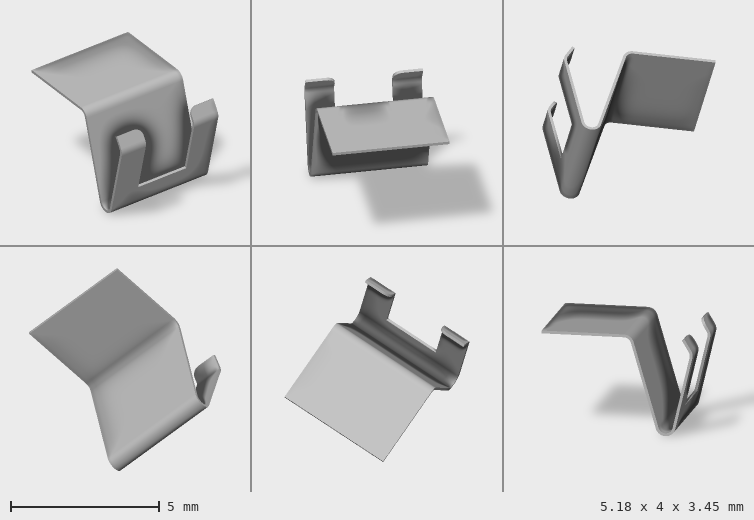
import cadquery as cq
import math

total_length = 5.18
width = 4.0
height = 3.45

thickness = 0.1
inside_radius = 0.25
mid_radius = inside_radius + thickness / 2

down_leg_tilt = 16.3
up_leg_tilt = 13.3
tip_tilt = 31.0

flat_length = 2.825
tip_length = 0.445

slot_width = width / 2
slot_floor_distance = 0.62
finger_corner_radius = 0.3

down_sin = math.sin(math.radians(down_leg_tilt))
down_cos = math.cos(math.radians(down_leg_tilt))
up_sin = math.sin(math.radians(up_leg_tilt))
down_leg_length = (height - thickness - 2 * mid_radius * (1 - down_sin)) / down_cos
up_leg_reach = (
    total_length - flat_length - 2 * mid_radius * down_cos
    - down_leg_length * down_sin - mid_radius - thickness / 2
)
up_leg_length = up_leg_reach / up_sin


def direction(heading):
    """Unit vector in the XZ plane; heading is in degrees from +X toward +Z."""
    angle = math.radians(heading)
    return cq.Vector(math.cos(angle), 0, math.sin(angle))


def straight(start, heading, length):
    """Straight stretch of strip and the middle of its far end."""
    end = start + direction(heading) * length
    half_normal = direction(heading + 90) * (thickness / 2)
    corners = [start + half_normal, end + half_normal, end - half_normal, start - half_normal]
    return extrude_across(cq.Workplane("XZ").polyline([(p.x, p.z) for p in corners])), end


def bend(start, heading, new_heading):
    """Bent stretch of strip, turning either way, and the middle of its far end."""
    side = math.copysign(90, new_heading - heading)
    center = start + direction(heading + side) * mid_radius

    def arc_point(at_heading, radius):
        point = center + direction(at_heading - side) * radius
        return point.x, point.z

    middle = (heading + new_heading) / 2
    outer = inside_radius + thickness
    outline = (
        cq.Workplane("XZ")
        .moveTo(*arc_point(heading, outer))
        .threePointArc(arc_point(middle, outer), arc_point(new_heading, outer))
        .lineTo(*arc_point(new_heading, inside_radius))
        .threePointArc(arc_point(middle, inside_radius), arc_point(heading, inside_radius))
    )
    return extrude_across(outline), center + direction(new_heading - side) * mid_radius


def extrude_across(outline):
    """Close an XZ outline and extrude it over the full width, centred on Y = 0."""
    return outline.close().extrude(width / 2, both=True)


down_heading = down_leg_tilt - 90
up_heading = 90 - up_leg_tilt
tip_heading = 90 + tip_tilt

flat, flat_end = straight(cq.Vector(0, 0, -thickness / 2), 0, flat_length)
shoulder, shoulder_end = bend(flat_end, 0, down_heading)
down_leg, down_leg_end = straight(shoulder_end, down_heading, down_leg_length)
bottom_bend, bottom_bend_end = bend(down_leg_end, down_heading, up_heading)
up_leg, up_leg_end = straight(bottom_bend_end, up_heading, up_leg_length)
upper_bend, upper_bend_end = bend(up_leg_end, up_heading, tip_heading)
tip, tip_end = straight(upper_bend_end, tip_heading, tip_length)

slot_plane = cq.Plane(
    origin=bottom_bend_end + direction(up_heading) * slot_floor_distance,
    xDir=direction(up_heading - 90),
    normal=direction(up_heading),
)
slot_depth = up_leg_length + mid_radius + tip_length
slot_thickness = 2 * slot_depth
slot = cq.Workplane(slot_plane).rect(slot_thickness, slot_width).extrude(slot_depth)
fingers = up_leg.union(upper_bend).union(tip).cut(slot)

corner_margin = thickness
corner_box = cq.Vector(corner_margin, slot_width / 2 + corner_margin, corner_margin)
slot_corners = cq.selectors.BoxSelector(
    (tip_end - corner_box).toTuple(), (tip_end + corner_box).toTuple()
)
across_sheet = cq.selectors.ParallelDirSelector(direction(tip_heading + 90))
fingers = fingers.edges(slot_corners).edges(across_sheet).fillet(finger_corner_radius)

result = flat.union(shoulder).union(down_leg).union(bottom_bend).union(fingers)